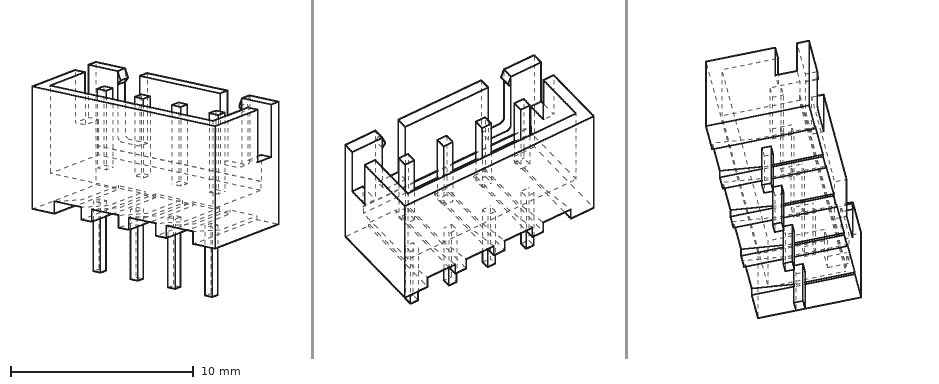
import cadquery as cq

LENGTH = 12.5
WIDTH = 5.8
HOUSING_HEIGHT = 7.0
TAIL_LENGTH = 3.8

WALL = 0.69
LONG_WALL = 0.72
FLOOR = 2.0
LEDGE_DROP = 4.5

END_NOTCH_WIDTH = 1.21
END_NOTCH_DEPTH = 3.0
TAB_WIDTH = 2.0
SLOT_WIDTH = 1.5
SLOT_DEPTH = 4.0
SLOT_RADIUS = 0.3

LATCH_REACH = 0.2
LATCH_TIP_DROP = 0.5
LATCH_HEIGHT = 0.78

PITCH = 2.55
CONTACT_COUNT = 4
POST_SIZE = 0.61
POST_OFFSET = 0.5
POST_DROP = 0.5
TAIL_SIZE = 0.51

CHANNEL_WIDTH = 1.82
CHANNEL_FRONT_HEIGHT = 0.71
CHANNEL_HEIGHT = 0.21
CHANNEL_SLOPE_LENGTH = 2.5

FRONT = -WIDTH / 2
REAR = WIDTH / 2
REAR_INNER = REAR - WALL
TAB_EDGE = LENGTH / 2 - TAB_WIDTH
CONTACT_XS = [(i - (CONTACT_COUNT - 1) / 2) * PITCH for i in range(CONTACT_COUNT)]


def box(x_range, y_range, z_range):
    """Box between pairs of coordinates."""
    sizes = [high - low for low, high in (x_range, y_range, z_range)]
    corner = (x_range[0], y_range[0], z_range[0])
    return cq.Workplane("XY").box(*sizes, centered=False).translate(corner)


def square_bar(x, y, size, z_range):
    """Upright square bar centred on x, y."""
    half = size / 2
    return box((x - half, x + half), (y - half, y + half), z_range)


def make_shroud():
    """Open-topped box with a thinner upper rear wall."""
    inner_end = LENGTH / 2 - WALL
    shell = box((-LENGTH / 2, LENGTH / 2), (FRONT, REAR), (0, HOUSING_HEIGHT))
    cavity = box((-inner_end, inner_end), (FRONT + LONG_WALL, REAR - LONG_WALL), (FLOOR, HOUSING_HEIGHT))
    upper_cavity = box(
        (-inner_end, inner_end), (0, REAR_INNER), (HOUSING_HEIGHT - LEDGE_DROP, HOUSING_HEIGHT)
    )
    return shell.cut(cavity).cut(upper_cavity)


def make_end_notches():
    """Notch through both end walls, beside the rear wall."""
    return box(
        (-LENGTH / 2, LENGTH / 2),
        (REAR_INNER - END_NOTCH_WIDTH, REAR_INNER),
        (HOUSING_HEIGHT - END_NOTCH_DEPTH, HOUSING_HEIGHT),
    )


def make_rear_slot(side):
    """Slot that frees one tab, rounded at the foot of the tab."""
    x_range = sorted((side * TAB_EDGE, side * (TAB_EDGE - SLOT_WIDTH)))
    slot = box(x_range, (REAR_INNER, REAR), (HOUSING_HEIGHT - SLOT_DEPTH, HOUSING_HEIGHT))
    tab_side = ">X" if side > 0 else "<X"
    return slot.faces(tab_side).edges("<Z").fillet(SLOT_RADIUS)


def make_channel(x):
    """Relief under one contact, deeper at the front and sloping down to a flat roof."""
    return (
        cq.Workplane("YZ")
        .moveTo(FRONT, 0)
        .lineTo(REAR, 0)
        .lineTo(REAR, CHANNEL_HEIGHT)
        .lineTo(FRONT + CHANNEL_SLOPE_LENGTH, CHANNEL_HEIGHT)
        .lineTo(FRONT, CHANNEL_FRONT_HEIGHT)
        .close()
        .extrude(CHANNEL_WIDTH / 2, both=True)
        .translate((x, 0, 0))
    )


def make_contact(x):
    """Post above the floor and tail below it, both rooted in the floor."""
    post = square_bar(x, POST_OFFSET, POST_SIZE, (FLOOR, HOUSING_HEIGHT - POST_DROP))
    tail = square_bar(x, 0, TAIL_SIZE, (-TAIL_LENGTH, CHANNEL_HEIGHT))
    return post, tail


def make_housing():
    """Shroud with its openings and the contacts in one solid."""
    body = make_shroud().cut(make_end_notches())
    for side in (-1, 1):
        body = body.cut(make_rear_slot(side))
    for x in CONTACT_XS:
        post, tail = make_contact(x)
        body = body.cut(make_channel(x)).union(post).union(tail)
    return body


def make_latch(side):
    """Triangular catch resting against the inner edge of one tab."""
    tip_x = side * (TAB_EDGE - LATCH_REACH)
    return (
        cq.Workplane("XZ", origin=(0, REAR, 0))
        .moveTo(side * TAB_EDGE, HOUSING_HEIGHT)
        .lineTo(tip_x, HOUSING_HEIGHT - LATCH_TIP_DROP)
        .lineTo(side * TAB_EDGE, HOUSING_HEIGHT - LATCH_HEIGHT)
        .close()
        .extrude(WALL)
    )


housing = make_housing()
latches = [make_latch(side) for side in (-1, 1)]

result = cq.Compound.makeCompound([housing.val(), *[latch.val() for latch in latches]])